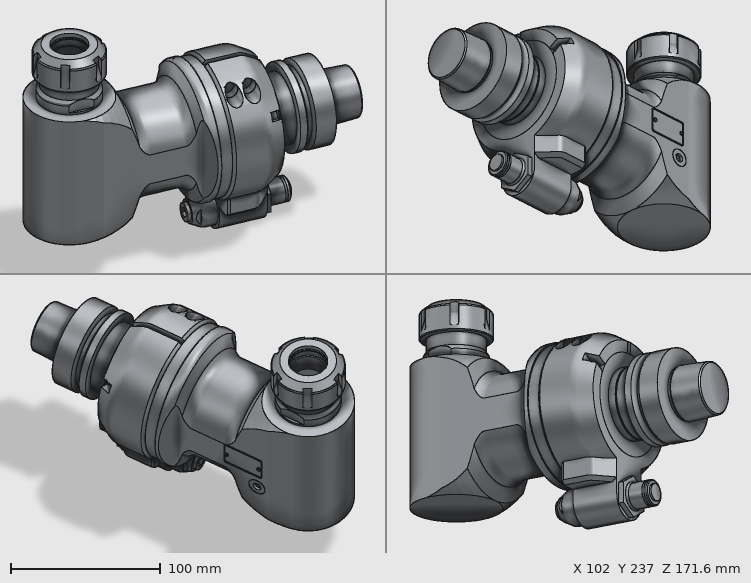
import cadquery as cq
import math


head_radius = 31.0
head_half_height = 49.0
head_half_width = 34.1
head_taper_angle = 12.4
crown_radius = math.hypot(head_radius, head_half_height)
crown_facets = 6
neck_radius = 36.0
neck_fillet_drop = 3.3
neck_front_y = 44.3
neck_front_cone_y = 36.5
neck_rear_y = 70.6
neck_rear_cone_y = 77.7
flange_cone_y = 81.8
flange_cone_radius = 48.3
flange_round_y = 85.8
flange_lip_y = 89.3
flange_lip_radius = 50.0
flange_radius = 49.0
flange_rear_y = 97.6
side_relief_start_y = 77.5
side_relief_tangent = (36.7, 81.5)
side_relief_slope = 21
side_relief_bulge = 0.7
envelope_margin = 2.4
hub_radius = 35.5

plug_y = 19.5
plug_z = -17.3
plug_diameter = 12.5
plug_socket_diameter = 6.0
plug_spotface_depth = 0.2
plug_socket_depth = 2.4
plate_y = 30.3
plate_z = 2.1
plate_length = 28.5
plate_height = 17.0
plate_thickness = 0.7
plate_corner = 1.2
plate_gap = 0.5
rivet_diameter = 2.5
rivet_inset = 1.7
rivet_rise = 0.7

ring_radius = 51.0
ring_rear_y = 137.7
ring_rear_radius = 43.8
ring_cone_y = 128.2
ring_cone_angle = 30
ring_round_y = 121.8
ring_front_chamfer = 2.1
slit_width = 3.8
notch_width = 6.5
notch_front_y = 129.2
notch_angles = (-60, 60)
screw_ys = (119.7, 106.6)
screw_z = 40.5
screw_diameter = 6.0
screw_recess_diameter = 11.4
screw_recess_floor_x = 24.0
screw_pilot_diameter = 11.0
screw_pilot_floor_x = 17.8

block_front_y = 102.9
block_front_half_width = 28.5
block_front_bevel_length = 1.7
block_half_width = 29.2
block_bottom_z = -57.4
block_shoulder_y = 128.2
block_shoulder_half_width = 25.8
block_edge = 2.8
lug_radius = 15.0
lug_center_z = -65.6
pin_z = -65.0

pin_radius = 9.0
pin_tip_radius = 6.0
pin_tip_y = 159.3
pin_rear_y = 157.8
pin_chamfer = 0.7
pin_groove_rear_y = 155.5
pin_groove_front_y = 153.8
pin_groove_depth = 0.2
pin_flare_y = 143.1
pin_flare_radius = 10.0
pin_hex_rear_y = 141.5
pin_hex_corner_diameter = 29.0
pin_cap_radius = 12.8
pin_cap_edge_y = 95.5
pin_cap_cone_y = 93.1
pin_cap_cone_radius = 12.3
pin_cap_front_y = 86.0
pin_cap_front_radius = 8.5
pin_nose_radius = 6.6
pin_nose_y = 83.5
pin_flat_x = 9.7
pin_flat_y = 91.5
pin_socket_flats = 6.5
pin_socket_depth = 2.4
pin_slot_width = 2.1
pin_slot_depth = 1.2

shank_tip_y = 206.0
taper_tip_radius = 18.2
taper_base_radius = 19.2
taper_base_y = 183.0
taper_relief_radius = 18.5
taper_chamfer = 1.0
shank_flange_rear_y = 180.8
shank_flange_radius = 31.5
gripper_rear_y = 166.1
gripper_floor_rear_y = 165.0
gripper_floor_front_y = 161.9
gripper_front_y = 159.7
gripper_floor_radius = 27.3
shank_flange_front_y = 154.8
shank_body_radius = 25.1
shank_groove_y = 143.6
shank_groove_width = 1.0
shank_groove_depth = 0.2

spindle_collar_radius = 22.3
spindle_collar_top_z = 56.0
spindle_shoulder_z = 57.0
spindle_shoulder_radius = 21.8
spindle_neck_radius = 20.1
spindle_neck_z = 59.2
spindle_flat_x = 20.5
spindle_flat_bottom_z = 50.7
spindle_bore_diameter = 23.7
spindle_bore_floor_z = 68.3

nut_radius = 25.0
nut_bottom_z = 68.3
nut_top_z = 91.0
nut_top_radius = 19
nut_shoulder_z = 86.7
nut_band = 1.2
nut_bottom_chamfer = 0.7
nut_seat_z = 81.3
nut_bore_radius = 13.0
nut_lip_radius = 12.3
nut_lip_top_z = 88.0
nut_lip_edge_z = 87.5
nut_lip_bottom_z = 86.5
nut_slot_count = 6
nut_slot_width = 6.0
nut_slot_floor_radius = 22.0
nut_slot_step_z = 80.8
nut_slot_bottom_z = 71.5
nut_slot_overrun = 2.4

reach = 142.2


def turned_about_y(points, axis_z=0):
    """Solid of revolution about a Y-parallel axis from (radius, y) points."""
    profile = cq.Workplane("XY", origin=(0, 0, axis_z)).polyline(points).close()
    return profile.revolve(360, (0, 0), (0, 1))


def turned_about_z(points):
    """Solid of revolution about Z from (radius, z) points."""
    return cq.Workplane("XZ").polyline(points).close().revolve(360, (0, 0), (0, 1))


def box_between(x_range, y_range, z_range):
    sizes = [high - low for low, high in (x_range, y_range, z_range)]
    corner = (x_range[0], y_range[0], z_range[0])
    return cq.Workplane("XY", origin=corner).box(*sizes, centered=False)


def cylinder_along_x(diameter, start_x, length, y, z):
    return cq.Workplane("YZ", origin=(start_x, y, z)).circle(diameter / 2).extrude(length)


def mirrored_pair(body):
    return body.union(body.mirror("YZ"))


def housing_turned_body():
    """Flange, neck and faceted spherical crown turned about Y, with the hub behind."""
    step = math.asin(head_radius / crown_radius) / crown_facets
    crown = [(crown_radius * math.cos(i * step), crown_radius * math.sin(i * step))
             for i in range(crown_facets, -1, -1)]
    neck_end_radius = neck_radius + neck_fillet_drop
    neck_middle_radius = neck_radius + neck_fillet_drop / 4
    profile = (
        cq.Workplane("XY")
        .moveTo(0, ring_rear_y)
        .lineTo(hub_radius, ring_rear_y)
        .lineTo(hub_radius, flange_rear_y)
        .lineTo(flange_radius, flange_rear_y)
        .lineTo(flange_radius, flange_lip_y)
        .lineTo(flange_lip_radius, flange_lip_y)
        .lineTo(flange_lip_radius, flange_round_y)
        .tangentArcPoint((flange_cone_radius, flange_cone_y), relative=False)
        .lineTo(neck_end_radius, neck_rear_cone_y)
        .threePointArc((neck_middle_radius, (neck_rear_cone_y + neck_rear_y) / 2),
                       (neck_radius, neck_rear_y))
        .lineTo(neck_radius, neck_front_y)
        .threePointArc((neck_middle_radius, (neck_front_y + neck_front_cone_y) / 2),
                       (neck_end_radius, neck_front_cone_y))
    )
    for point in crown:
        profile = profile.lineTo(*point)
    profile = profile.lineTo(crown_radius, -head_radius).lineTo(0, -head_radius)
    return profile.close().revolve(360, (0, 0), (0, 1))


def housing_envelope():
    """Vertical prism: round front end, tapered sides, flat cheeks and sloped flange reliefs."""
    taper = math.radians(head_taper_angle)
    tangent_x = head_radius * math.cos(taper)
    tangent_y = -head_radius * math.sin(taper)
    cheek_y = tangent_y + (head_half_width - tangent_x) / math.tan(taper)
    relief_x, relief_y = side_relief_tangent
    slope = math.tan(math.radians(side_relief_slope))
    outer_x = ring_radius + envelope_margin
    outer_y = relief_y + (outer_x - relief_x) * slope
    arc_middle = (head_half_width + side_relief_bulge,
                  (side_relief_start_y + relief_y) / 2 + side_relief_bulge)
    return (
        cq.Workplane("XY", origin=(0, 0, -reach / 2))
        .moveTo(-tangent_x, tangent_y)
        .threePointArc((0, -head_radius), (tangent_x, tangent_y))
        .lineTo(head_half_width, cheek_y)
        .lineTo(head_half_width, side_relief_start_y)
        .threePointArc(arc_middle, side_relief_tangent)
        .lineTo(outer_x, outer_y)
        .lineTo(outer_x, ring_rear_y)
        .lineTo(-outer_x, ring_rear_y)
        .lineTo(-outer_x, outer_y)
        .lineTo(-relief_x, relief_y)
        .threePointArc((-arc_middle[0], arc_middle[1]), (-head_half_width, side_relief_start_y))
        .lineTo(-head_half_width, cheek_y)
        .close()
        .extrude(reach)
    )


def head_height_limit():
    """Top and bottom planes of the head; the flange behind it is taller."""
    head = box_between((-reach, reach), (-reach, neck_front_y), (-head_half_height, head_half_height))
    rear = box_between((-reach, reach), (neck_front_y, reach), (-reach, reach))
    return head.union(rear)


def plate_block(length, height, corner):
    """Rounded plate let into the -X cheek."""
    return (
        cq.Workplane("YZ", origin=(-head_half_width, plate_y, plate_z))
        .rect(length, height)
        .extrude(plate_thickness)
        .edges("|X")
        .fillet(corner)
    )


def make_housing():
    body = housing_turned_body().intersect(housing_envelope()).intersect(head_height_limit())
    pocket = plate_block(plate_length + 2 * plate_gap, plate_height + 2 * plate_gap,
                         plate_corner + plate_gap)
    plug_spotface = cylinder_along_x(plug_diameter, -head_half_width, plug_spotface_depth,
                                     plug_y, plug_z)
    plug_socket = cylinder_along_x(plug_socket_diameter, -head_half_width, plug_socket_depth,
                                   plug_y, plug_z)
    return body.cut(pocket).cut(plug_spotface).cut(plug_socket)


def make_nameplate():
    plate = plate_block(plate_length, plate_height, plate_corner)
    for side in (-1, 1):
        rivet_y = plate_y + side * (plate_length / 2 - rivet_inset)
        plate = plate.union(cylinder_along_x(rivet_diameter, -head_half_width - rivet_rise,
                                             rivet_rise + plate_thickness, rivet_y, plate_z))
    return plate


def ring_blank():
    angle = math.radians(ring_cone_angle)
    cone_radius = ring_rear_radius + (ring_rear_y - ring_cone_y) * math.tan(angle)
    return (
        cq.Workplane("XY")
        .moveTo(0, ring_rear_y)
        .lineTo(ring_rear_radius, ring_rear_y)
        .lineTo(cone_radius, ring_cone_y)
        .tangentArcPoint((ring_radius, ring_round_y), relative=False)
        .lineTo(ring_radius, flange_rear_y + ring_front_chamfer)
        .lineTo(ring_radius - ring_front_chamfer, flange_rear_y)
        .lineTo(0, flange_rear_y)
        .close()
        .revolve(360, (0, 0), (0, 1))
    )


def ring_block():
    """Block under the ring, narrowed to the lug at the rear, with bevelled lower side edges."""
    half = (
        cq.Workplane("XY", origin=(0, 0, block_bottom_z))
        .moveTo(0, block_front_y)
        .lineTo(block_front_half_width, block_front_y)
        .lineTo(block_half_width, block_front_y + block_front_bevel_length)
        .lineTo(block_half_width, ring_round_y)
        .tangentArcPoint((block_shoulder_half_width, block_shoulder_y), relative=False)
        .lineTo(lug_radius, ring_rear_y)
        .lineTo(0, ring_rear_y)
        .close()
        .extrude(-block_bottom_z)
    )
    lower_side_edges = cq.selectors.BoxSelector(
        (lug_radius, block_front_y, block_bottom_z - block_edge),
        (block_half_width + block_edge, ring_rear_y, block_bottom_z + block_edge))
    half = half.edges(lower_side_edges).chamfer(block_edge)
    return mirrored_pair(half)


def ring_lug():
    """Round-ended lug that carries the stop pin."""
    depth = ring_rear_y - block_front_y
    plane = cq.Workplane("XZ", origin=(0, ring_rear_y, 0))
    end = plane.center(0, lug_center_z).circle(lug_radius).extrude(depth)
    web = box_between((-lug_radius, lug_radius), (block_front_y, ring_rear_y), (lug_center_z, -hub_radius))
    return end.union(web)


def ring_slit():
    """Clamping slit on top, bridged by the two clamp screws."""
    slit = box_between((-slit_width / 2, slit_width / 2), (flange_rear_y, ring_rear_y), (0, reach))
    for y in screw_ys:
        slit = slit.cut(cylinder_along_x(screw_diameter, -slit_width, 2 * slit_width, y, screw_z))
    return slit


def ring_notch(angle):
    """Open-ended notch through the rear cone, down to the hub bore."""
    notch = box_between((-notch_width / 2, notch_width / 2), (notch_front_y, reach),
                        (0, reach))
    return notch.rotate((0, 0, 0), (0, 1, 0), angle)


def make_clamp_ring():
    ring = ring_blank().union(ring_block()).union(ring_lug())
    hub_length = ring_rear_y - flange_rear_y
    ring = ring.cut(cq.Workplane("XZ", origin=(0, ring_rear_y, 0)).circle(hub_radius).extrude(hub_length))
    ring = ring.cut(ring_slit())
    for angle in notch_angles:
        ring = ring.cut(ring_notch(angle))
    for y in screw_ys:
        ring = ring.cut(cylinder_along_x(screw_recess_diameter, screw_recess_floor_x, reach, y, screw_z))
        ring = ring.cut(cylinder_along_x(screw_pilot_diameter, screw_pilot_floor_x, reach, y, screw_z))
    pin_hole = cq.Workplane("XZ", origin=(0, reach, pin_z)).circle(pin_radius).extrude(reach)
    return ring.cut(pin_hole)


def make_stop_pin():
    pin = turned_about_y([
        (0, pin_tip_y),
        (pin_tip_radius, pin_tip_y),
        (pin_tip_radius, pin_rear_y),
        (pin_radius - pin_chamfer, pin_rear_y),
        (pin_radius, pin_rear_y - pin_chamfer),
        (pin_radius, pin_groove_rear_y),
        (pin_radius - pin_groove_depth, pin_groove_rear_y),
        (pin_radius - pin_groove_depth, pin_groove_front_y),
        (pin_radius, pin_groove_front_y),
        (pin_radius, pin_flare_y),
        (pin_flare_radius, pin_hex_rear_y),
        (pin_radius, pin_hex_rear_y),
        (pin_radius, block_front_y),
        (pin_cap_radius, block_front_y),
        (pin_cap_radius, pin_cap_edge_y),
        (pin_cap_cone_radius, pin_cap_cone_y),
        (pin_cap_front_radius, pin_cap_front_y),
        (pin_nose_radius, pin_cap_front_y),
        (pin_nose_radius, pin_nose_y),
        (0, pin_nose_y),
    ], pin_z)
    hexagon = (
        cq.Workplane("XZ", origin=(0, pin_hex_rear_y, pin_z))
        .polygon(6, pin_hex_corner_diameter)
        .extrude(pin_hex_rear_y - ring_rear_y)
        .rotate((0, 0, pin_z), (0, 1, pin_z), 90)
    )
    cheek = box_between((pin_flat_x, reach), (pin_nose_y, pin_flat_y), (-reach, 0))
    slot = box_between((-pin_slot_width / 2, pin_slot_width / 2),
                       (pin_nose_y, pin_cap_front_y + pin_slot_depth),
                       (pin_z - pin_cap_radius, pin_z + pin_cap_radius))
    nose_core = cq.Workplane("XZ", origin=(0, reach, pin_z)).circle(pin_nose_radius).extrude(reach)
    socket = (
        cq.Workplane("XZ", origin=(0, pin_nose_y + pin_socket_depth, pin_z))
        .polygon(6, pin_socket_flats / math.cos(math.pi / 6))
        .extrude(pin_socket_depth)
        .rotate((0, 0, pin_z), (0, 1, pin_z), 90)
    )
    return pin.union(hexagon).cut(mirrored_pair(cheek)).cut(slot.cut(nose_core)).cut(socket)


def make_shank():
    return turned_about_y([
        (0, shank_tip_y),
        (taper_tip_radius - taper_chamfer, shank_tip_y),
        (taper_tip_radius, shank_tip_y - taper_chamfer),
        (taper_base_radius, taper_base_y),
        (taper_relief_radius, taper_base_y),
        (taper_relief_radius, shank_flange_rear_y),
        (shank_flange_radius, shank_flange_rear_y),
        (shank_flange_radius, gripper_rear_y),
        (gripper_floor_radius, gripper_floor_rear_y),
        (gripper_floor_radius, gripper_floor_front_y),
        (shank_flange_radius, gripper_front_y),
        (shank_flange_radius, shank_flange_front_y),
        (shank_body_radius, shank_flange_front_y),
        (shank_body_radius, shank_groove_y + shank_groove_width / 2),
        (shank_body_radius - shank_groove_depth, shank_groove_y + shank_groove_width / 2),
        (shank_body_radius - shank_groove_depth, shank_groove_y - shank_groove_width / 2),
        (shank_body_radius, shank_groove_y - shank_groove_width / 2),
        (shank_body_radius, ring_rear_y),
        (0, ring_rear_y),
    ])


def make_spindle():
    bore_radius = spindle_bore_diameter / 2
    spindle = turned_about_z([
        (0, head_half_height),
        (spindle_collar_radius, head_half_height),
        (spindle_collar_radius, spindle_collar_top_z),
        (spindle_shoulder_radius, spindle_shoulder_z),
        (spindle_neck_radius, spindle_neck_z),
        (spindle_neck_radius, nut_seat_z),
        (bore_radius, nut_seat_z),
        (bore_radius, spindle_bore_floor_z),
        (0, spindle_bore_floor_z),
    ])
    cheek = box_between((spindle_flat_x, reach), (-reach, reach), (spindle_flat_bottom_z, spindle_neck_z))
    return spindle.cut(mirrored_pair(cheek))


def nut_slot():
    """Spanner slot on the -Y side: straight floor that runs out to the rim below."""
    return (
        cq.Workplane("YZ", origin=(-nut_slot_width / 2, 0, 0))
        .polyline([
            (-nut_slot_floor_radius, nut_top_z),
            (-nut_slot_floor_radius, nut_slot_step_z),
            (-nut_radius, nut_slot_bottom_z),
            (-nut_radius - nut_slot_overrun, nut_slot_bottom_z),
            (-nut_radius - nut_slot_overrun, nut_top_z),
        ])
        .close()
        .extrude(nut_slot_width)
    )


def make_collet_nut():
    nut = turned_about_z([
        (spindle_neck_radius, nut_bottom_z),
        (nut_radius - nut_bottom_chamfer, nut_bottom_z),
        (nut_radius, nut_bottom_z + nut_bottom_chamfer),
        (nut_radius, nut_shoulder_z - nut_band),
        (nut_radius - nut_band / 2, nut_shoulder_z),
        (nut_top_radius, nut_top_z),
        (nut_bore_radius, nut_top_z),
        (nut_bore_radius, nut_lip_top_z),
        (nut_lip_radius, nut_lip_edge_z),
        (nut_lip_radius, nut_lip_bottom_z),
        (nut_bore_radius, nut_lip_bottom_z),
        (nut_bore_radius, nut_seat_z),
        (spindle_neck_radius, nut_seat_z),
    ])
    for i in range(nut_slot_count):
        nut = nut.cut(nut_slot().rotate((0, 0, 0), (0, 0, 1), i * 360 / nut_slot_count))
    return nut


housing = make_housing()
nameplate = make_nameplate()
clamp_ring = make_clamp_ring()
stop_pin = make_stop_pin()
shank = make_shank()
spindle = make_spindle()
collet_nut = make_collet_nut()

result = cq.Compound.makeCompound([
    housing.val(),
    nameplate.val(),
    clamp_ring.val(),
    stop_pin.val(),
    shank.val(),
    spindle.val(),
    collet_nut.val(),
])